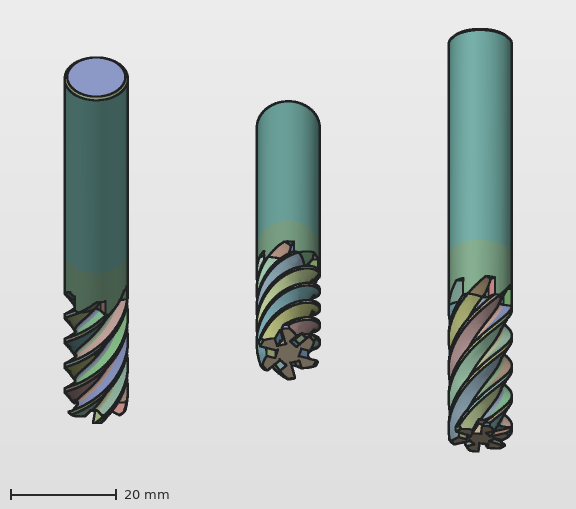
import cadquery as cq
import math

total_length = 84.0
tool_diameter = 12.0
tool_radius = tool_diameter / 2
cutting_length = 28.0
neck_end_height = 39.1
edge_chamfer = 0.5

flute_count = 6
helix_lead = 38.1
tooth_angle = 360.0 / flute_count
land_crossing_height = 2.5

land_angle = 9.5
heel_mid_angle = 23.5
heel_mid_radius = 4.95
root_start_angle = 38.0
root_mid_angle = 46.5
root_radius = 4.0
rake_start_angle = 53.0
rake_start_radius = 4.45

runout_length = 3.5
clearance = 0.8
outside_radius = tool_radius + clearance
runout_inner_radius = 2.5
runout_far_angle = 100.0

gash_height = 2.0
gash_inner_radius = 2.1
gash_tip_width = 1.7
gash_top_width = 2.5


def twist_over(height):
    """Helix rotation, in degrees, gained over an axial height."""
    return 360.0 * height / helix_lead


first_edge_angle = -90.0 - land_angle / 2 - twist_over(land_crossing_height)


def point_maker(edge_angle):
    """Function giving XY points by radius and by angle turned from a cutting edge."""
    def point(radius, angle):
        turned = math.radians(edge_angle + angle)
        return (radius * math.cos(turned), radius * math.sin(turned))

    return point


def make_teeth():
    """Twisted tooth section: land, heel, rounded root and rake face for every tooth."""
    section = cq.Workplane("XY").moveTo(*point_maker(first_edge_angle)(tool_radius, 0))
    for tooth in range(flute_count):
        point = point_maker(first_edge_angle + tooth * tooth_angle)
        section = (
            section
            .threePointArc(point(tool_radius, land_angle / 2), point(tool_radius, land_angle))
            .threePointArc(point(heel_mid_radius, heel_mid_angle), point(root_radius, root_start_angle))
            .threePointArc(point(root_radius, root_mid_angle), point(rake_start_radius, rake_start_angle))
            .lineTo(*point(tool_radius, tooth_angle))
        )
    return section.close().twistExtrude(cutting_length, twist_over(cutting_length))


def make_gash():
    """Notch cutter whose wall leans along the helix, for a cutting edge on the +X axis."""
    lean = math.radians(twist_over(gash_height)) * tool_radius
    wall_slope = lean / gash_height
    return (
        cq.Workplane("YZ", origin=(gash_inner_radius, 0, 0))
        .moveTo(-wall_slope * clearance, -clearance)
        .lineTo(lean, gash_height)
        .lineTo(lean - gash_top_width, gash_height)
        .lineTo(-gash_tip_width, 0)
        .lineTo(-gash_tip_width, -clearance)
        .close()
        .extrude(outside_radius - gash_inner_radius)
    )


def make_cutting_head():
    """Fluted cutting length with chamfered corners and a gash at each tooth."""
    envelope = (
        cq.Workplane("XY")
        .circle(tool_radius)
        .extrude(cutting_length)
        .faces("<Z")
        .chamfer(edge_chamfer)
    )
    for tooth in range(flute_count):
        edge_angle = first_edge_angle + tooth * tooth_angle
        envelope = envelope.cut(make_gash().rotate((0, 0, 0), (0, 0, 1), edge_angle))
    return make_teeth().intersect(envelope)


def make_straight_void(base_height, edge_angle):
    """Void with an upright rake wall, continuing the flute straight up."""
    point = point_maker(edge_angle)
    return (
        cq.Workplane("XY", origin=(0, 0, base_height))
        .moveTo(*point(root_radius, 0))
        .threePointArc(point(root_radius, root_mid_angle / 2), point(root_radius, root_mid_angle))
        .lineTo(*point(rake_start_radius, rake_start_angle))
        .lineTo(*point(tool_radius, tooth_angle))
        .lineTo(*point(outside_radius, tooth_angle))
        .threePointArc(point(outside_radius, tooth_angle / 2), point(outside_radius, 0))
        .close()
        .extrude(cutting_length + runout_length - base_height)
    )


def make_helical_void(base_height, edge_angle):
    """Void bounded by the heel wall, which keeps turning with the helix."""
    point = point_maker(edge_angle)
    height = cutting_length + runout_length + clearance - base_height
    return (
        cq.Workplane("XY", origin=(0, 0, base_height))
        .moveTo(*point(tool_radius, land_angle))
        .threePointArc(point(heel_mid_radius, heel_mid_angle), point(root_radius, root_start_angle))
        .lineTo(*point(runout_inner_radius, root_mid_angle))
        .lineTo(*point(outside_radius, runout_far_angle))
        .threePointArc(point(outside_radius, tooth_angle), point(outside_radius, land_angle))
        .close()
        .twistExtrude(height, twist_over(height))
    )


def make_runout():
    """Flute run-out: narrows upward between the turning heel wall and the upright rake wall."""
    base_height = cutting_length - clearance
    straight_void = make_straight_void(base_height, first_edge_angle + twist_over(cutting_length))
    helical_void = make_helical_void(base_height, first_edge_angle + twist_over(base_height))
    neck = cq.Workplane("XY", origin=(0, 0, cutting_length)).circle(tool_radius).extrude(runout_length)
    return neck.intersect(straight_void).intersect(helical_void)


def make_shank():
    """Neck and clamping shank, with the flutes running out into the neck."""
    shank = (
        cq.Workplane("YZ")
        .moveTo(0, cutting_length)
        .lineTo(-tool_radius, cutting_length)
        .lineTo(-tool_radius, neck_end_height)
        .lineTo(-tool_radius, total_length - edge_chamfer)
        .lineTo(-tool_radius + edge_chamfer, total_length)
        .lineTo(0, total_length)
        .close()
        .revolve(360, (0, 0), (0, 1), clean=False)
    )
    runout = make_runout()
    for flute in range(flute_count):
        turned_runout = runout.rotate((0, 0, 0), (0, 0, 1), flute * tooth_angle)
        shank = shank.cut(turned_runout, clean=False)
    return shank


cutting_head = make_cutting_head()
shank = make_shank()

result = cq.Compound.makeCompound([cutting_head.solids().val(), shank.solids().val()])